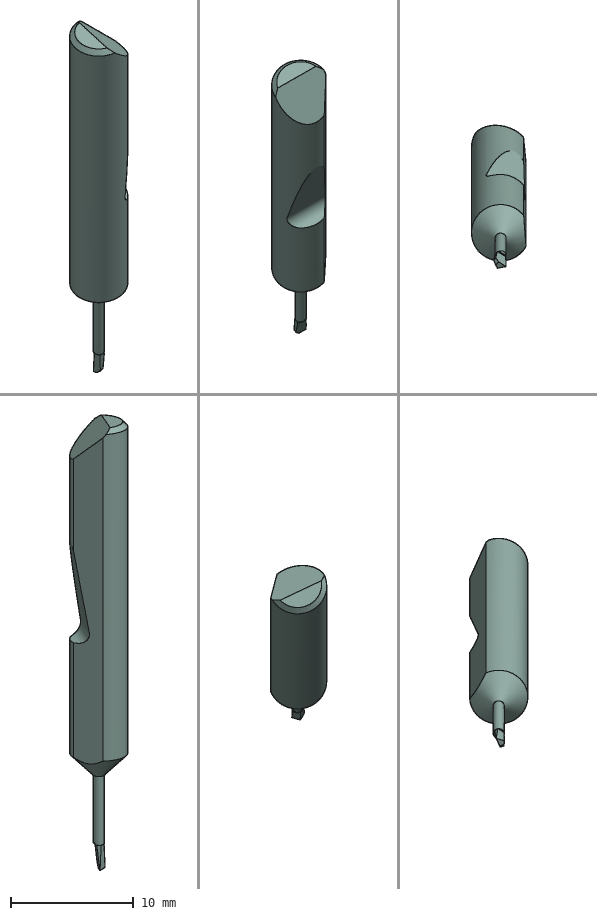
import cadquery as cq
import math

total_length = 38.1
shank_diameter = 4.75
shank_radius = shank_diameter / 2
neck_radius = 0.45
neck_top = 8.0
cone_top = 9.85
top_chamfer = 0.42

flat_distance = 2.0
flat_direction = 143.0

slope_start_y = -0.57
slope_angle = 45.0

notch_bottom = 19.62
notch_top = 28.2
notch_depth = 1.45
notch_corner_radius = 0.9

head_height = 2.15
head_reach = 0.55
head_top_reach = 0.45
ridge_x = -0.05
ridge_top_x = 0.05
side_end_y = -0.23
back_corner_top_y = -0.1
back_end_x = -0.35
tip_relief = 0.1
corner_start_x = 0.2
corner_height = 0.55
rake_top = 2.05
rake_top_y = 0.23
runout_top = 2.3

overcut = 0.4


def extrude_along_x(points):
    """Prism of a (Y, Z) outline, spanning the whole shank width."""
    return cq.Workplane("YZ").polyline(points).close().extrude(shank_radius + overcut, both=True)


def make_body():
    """Turned shank, cone and neck."""
    profile = [
        (0, 0),
        (neck_radius, 0),
        (neck_radius, neck_top),
        (shank_radius, cone_top),
        (shank_radius, total_length - top_chamfer),
        (shank_radius - top_chamfer, total_length),
        (0, total_length),
    ]
    return cq.Workplane("XZ").polyline(profile).close().revolve(360, (0, 0, 0), (0, 1, 0))


def make_flat_cutter():
    return (
        cq.Workplane("XY")
        .box(shank_radius, 2 * shank_diameter, total_length, centered=(False, True, False))
        .translate((flat_distance, 0, 0))
        .rotate((0, 0, 0), (0, 0, 1), flat_direction)
    )


def make_top_slope_cutter():
    outer_y = shank_radius + overcut
    drop = (outer_y - slope_start_y) * math.tan(math.radians(slope_angle))
    return extrude_along_x([
        (slope_start_y, total_length),
        (outer_y, total_length),
        (outer_y, total_length - drop),
    ])


def make_notch_cutter():
    outer_y = shank_radius + overcut
    inner_y = shank_radius - notch_depth
    rise_beyond = overcut * (notch_top - notch_bottom) / notch_depth
    notch = extrude_along_x([
        (inner_y, notch_bottom),
        (outer_y, notch_bottom),
        (outer_y, notch_top + rise_beyond),
    ])
    return notch.edges("|X").edges("<Y").fillet(notch_corner_radius)


def make_head():
    """Tapered three-sided block with a cut corner at its end."""
    tip_plan = [
        (-head_reach, rake_top_y),
        (-head_reach, 0),
        (ridge_x, -head_reach),
        (head_reach, side_end_y),
        (head_reach, rake_top_y),
    ]
    neck_plan = [
        (back_end_x, rake_top_y),
        (-head_top_reach, back_corner_top_y),
        (ridge_top_x, -head_top_reach),
        (head_top_reach, side_end_y),
        (head_top_reach, rake_top_y),
    ]
    block = (
        cq.Workplane("XY")
        .polyline(tip_plan)
        .close()
        .workplane(offset=head_height)
        .polyline(neck_plan)
        .close()
        .loft(ruled=True)
    )
    corner = (
        cq.Workplane("XZ")
        .polyline([(corner_start_x, 0), (head_reach, 0), (head_reach, corner_height)])
        .close()
        .extrude(shank_radius, both=True)
    )
    return block.cut(corner)


def make_end_relief_cutter():
    return extrude_along_x([(0, 0), (-head_reach, 0), (-head_reach, tip_relief)])


def make_rake_cutter():
    """Removes the +Y half of the tip and runs out obliquely through the neck."""
    outer_y = head_reach + overcut
    runout_slope = (runout_top - rake_top) / (neck_radius - rake_top_y)
    outer_z = rake_top + runout_slope * (outer_y - rake_top_y)
    return extrude_along_x([(0, 0), (rake_top_y, rake_top), (outer_y, outer_z), (outer_y, 0)])


neck_end_cutter = cq.Workplane("XY").circle(shank_radius).extrude(head_height)
body = make_body().cut(neck_end_cutter)
body = body.cut(make_flat_cutter()).cut(make_top_slope_cutter()).cut(make_notch_cutter())
result = body.union(make_head()).cut(make_rake_cutter()).cut(make_end_relief_cutter())